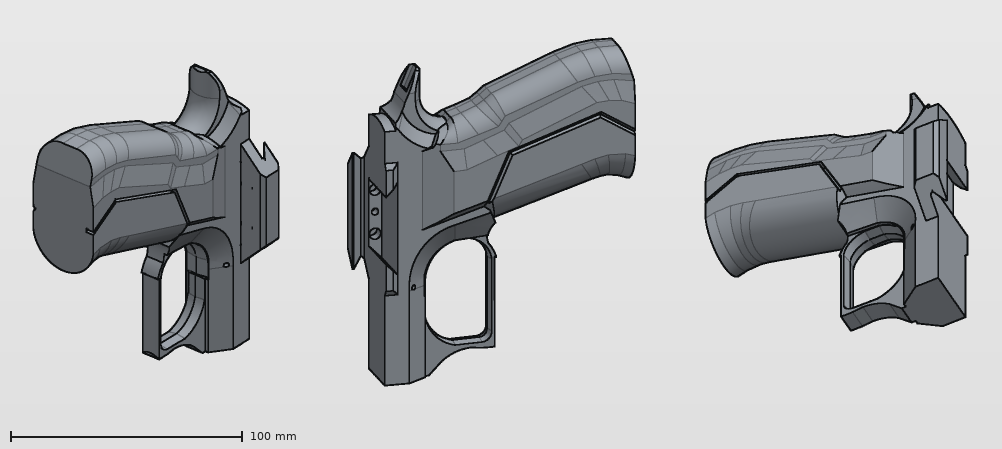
import cadquery as cq
import math


FRAME_HALF = 12.7
GUARD_HALF = 4.6
GUARD_FRONT_Y = -52.5
GUARD_FRONT_TOP = 51.2
GUARD_SAG = 0.8
RECESS_INNER_HALF = 6.2
TAIL_HALF = 8.4
GRIP_HALF = 16.75
SHOULDER_HALF = 15.0
CROWN_FLAT_HALF = 3.7
BUTT_Y = -111.41
GRIP_TOP = 142.19

FRAME_TOP = 117.7
FRAME_ARCH_SAG = 2.5
TAIL_ROOT_Y = -5.0

TAIL_TOP = 139.9
TAIL_CURL_CENTRE = (-30.4, 126.6)
TAIL_CURL_RADIUS = 11.5
TAIL_FRONT_SAG = 3.9
TAIL_ARCH_START = 129.0
TAIL_TIP_HALF = 4.6
TAIL_NOTCH_ENDS = ((-12.0, 129.9), (-16.3, TAIL_TOP))
TAIL_NOTCH_DEPTH = 0.8

MOUNT_DEPTH = 5.9
MOUNT_BOTTOM = 40.8
MOUNT_TOP = 100.8
BOSS_HEIGHT = 1.95
BOSS_BEVEL = 2.6
RAIL_OUTER_X = 25.5
RAIL_HOOK_Y = 6.25
RAIL_CORNER = 1.8
RAIL_TIP_X = 16.2
RAIL_TIP_FLAT = 0.6
MOUNT_MID_Z = (MOUNT_BOTTOM + MOUNT_TOP) / 2
GAP_HALF_BACK = 15.2
SCREW_PITCH = 20.0
SCREW_DIAMETER = 5.0
CENTRE_HOLE_DIAMETER = 3.0
MOUNT_HOLE_DEPTH = 6.0
PIN_DIAMETER = 2.0
PIN_CENTRE = (-13.5, 42.8)

CROWN_RIDGE = [(-25.5, 112.8), (-29.8, 114.0), (-31.9, 116.4), (-36.6, 117.9), (-43.4, 120.6), (-46.9, 122.9),
               (-50.3, 125.6), (-81.1, 138.1), (-90.6, 141.1), (-98.3, GRIP_TOP), (BUTT_Y, GRIP_TOP)]
STRIP_TOP = [(-21.4, 106.6), (-24.5, 108.1), (-32.0, 108.1), (-41.3, 111.1), (-50.3, 114.0), (-51.8, 116.2),
             (-53.3, 118.5), (-85.9, 130.9), (-93.6, 132.8), (-101.3, 133.4), (BUTT_Y, 132.4)]
STRIP_BOTTOM = [(-16.9, 104.9), (-34.9, 105.2), (-43.4, 108.4), (-52.9, 112.1), (-55.0, 115.1),
                (-87.6, 128.8), (-94.9, 130.4), (-102.1, 130.7), (BUTT_Y, 129.2)]
FLANK_TOP = [(-17.3, 95.2), (-35.7, 96.2), (-49.4, 101.4), (-58.9, 104.8), (-60.6, 107.6),
             (-94.0, 121.5), (-99.6, 121.9), (-105.1, 121.5), (BUTT_Y, 119.4)]
FLANK_BOTTOM = [(-16.7, 72.7), (-45.2, 81.1), (-46.9, 81.7), (-87.1, 94.1), (-93.1, 96.0),
                (-99.1, 97.3), (-106.9, 97.1), (BUTT_Y, 95.8)]
KEEL_RIDGE = [(-16.0, 65.0), (-43.9, 73.4), (-50.7, 68.6), (-95.3, 82.3), (-98.7, 83.1),
              (-102.1, 83.5), (-106.9, 82.8), (BUTT_Y, 81.2)]
NECK_START_Y = -16.9
NECK_END_Y = -29.9
BUTT_BEVEL_START_Z = 129.2
BUTT_BEVEL_TOP_Y = -107.3

GROOVE_PATH = [(BUTT_Y - 3.0, 104.5), (-95.9, 115.7), (-55.4, 101.8), (-45.8, 79.9)]
GROOVE_HALF = 1.15
GROOVE_DEPTH = 1.2
SLOT_HALF = 0.65
SLOT_DEPTH = 4.0

MARGIN = 10.0


def side_plane(x):
    """Plane at the given x whose local axes are (y, z)."""
    return cq.Plane(origin=(x, 0, 0), xDir=(0, 1, 0), normal=(1, 0, 0))


def side_prism(points, x_from, x_to):
    return cq.Workplane(side_plane(x_from)).polyline(points).close().extrude(x_to - x_from)


def mirrored(shape):
    return shape.union(shape.mirror("YZ"))


def side_wire(points, x):
    return cq.Wire.makePolygon([cq.Vector(x, y, z) for y, z in points], close=True)


def ruled(wires):
    return cq.Workplane(obj=cq.Solid.makeLoft(wires, True))


def make_frame_block():
    curl_y, curl_z = TAIL_CURL_CENTRE
    diagonal = TAIL_CURL_RADIUS * math.sqrt(0.5)
    tail_front = curl_y + TAIL_CURL_RADIUS
    return (
        cq.Workplane(side_plane(-FRAME_HALF))
        .moveTo(0, 0)
        .lineTo(-22.0, 0)
        .lineTo(-28.0, 6.1)
        .threePointArc((-33.6, 9.5), (-41.0, 11.1))
        .lineTo(-46.0, 10.5)
        .lineTo(-51.6, 10.5)
        .lineTo(GUARD_FRONT_Y, 12.7)
        .lineTo(GUARD_FRONT_Y, GUARD_FRONT_TOP)
        .threePointArc((-51.4, 54.0), (-48.9, 57.9))
        .threePointArc((-48.4, 63.5), (-50.7, 68.5))
        .lineTo(-47.0, 76.0)
        .lineTo(-41.0, 102.0)
        .lineTo(-30.5, 105.0)
        .lineTo(curl_y, curl_z - TAIL_CURL_RADIUS)
        .threePointArc((curl_y + diagonal, curl_z - diagonal), (tail_front, curl_z))
        .lineTo(tail_front, TAIL_TOP - 1.3)
        .lineTo(-17.7, TAIL_TOP)
        .lineTo(-16.3, TAIL_TOP)
        .lineTo(-10.2, 126.0)
        .threePointArc((-7.7, 120.7), (TAIL_ROOT_Y, 118.4))
        .lineTo(-3.5, FRAME_TOP)
        .lineTo(0, FRAME_TOP)
        .close()
        .extrude(2 * FRAME_HALF)
    )


def make_frame_arch_cut():
    """Everything above the arched upper end, between the back face and the tail root."""
    side_z = FRAME_TOP - FRAME_ARCH_SAG
    return (
        cq.Workplane("XZ", origin=(0, MARGIN, 0))
        .moveTo(-FRAME_HALF, side_z)
        .threePointArc((0, FRAME_TOP), (FRAME_HALF, side_z))
        .lineTo(FRAME_HALF, FRAME_TOP + MARGIN)
        .lineTo(-FRAME_HALF, FRAME_TOP + MARGIN)
        .close()
        .extrude(MARGIN - TAIL_ROOT_Y)
    )


def guard_outline(x, start, middle, arc_end, line_end):
    far_y = GUARD_FRONT_Y - MARGIN
    slope = (line_end[1] - arc_end[1]) / (line_end[0] - arc_end[0])
    far_z = line_end[1] + slope * (far_y - line_end[0])
    return (
        cq.Workplane(side_plane(x))
        .moveTo(start[0], -MARGIN)
        .lineTo(*start)
        .threePointArc(middle, arc_end)
        .lineTo(far_y, far_z)
        .lineTo(far_y, -MARGIN)
        .close()
    )


def make_guard_recess():
    """Removes the frame beside the trigger guard, with a flared wall round it."""
    inner = ((-20.1, 42.1), (-23.6, 54.2), (-33.2, 60.9), (-48.2, 62.0))
    outer = ((-11.1, 42.1), (-18.2, 62.6), (-31.4, 70.1), (-46.9, 74.1))
    flare = ruled([guard_outline(RECESS_INNER_HALF, *inner).val(),
                   guard_outline(FRAME_HALF, *outer).val()])
    step = guard_outline(GUARD_HALF, *inner).extrude(RECESS_INNER_HALF - GUARD_HALF)
    return mirrored(flare.union(step))


def tail_side_wire(x, start, middle, end):
    top_z = GRIP_TOP + MARGIN
    front_y = TAIL_CURL_CENTRE[0] - MARGIN
    return (
        cq.Workplane(side_plane(x))
        .moveTo(*start)
        .threePointArc(middle, end)
        .lineTo(front_y, end[1])
        .lineTo(front_y, top_z)
        .lineTo(start[0] + MARGIN, top_z)
        .lineTo(start[0] + MARGIN, start[1] + MARGIN)
        .close()
        .val()
    )


def make_tail_recess():
    """Narrows the frame to the tail width through a flared curved shoulder."""
    inner = tail_side_wire(TAIL_HALF, (-9.2, 121.9), (-14.6, 114.8), (-23.7, 110.8))
    outer = tail_side_wire(FRAME_HALF, (-6.2, 115.5), (-12.2, 109.5), (-20.3, 105.7))
    return mirrored(ruled([inner, outer]))


def make_tail_front_cut():
    """A barrel-shaped cutter that rounds the concave tail front from side to side."""
    curl_y, curl_z = TAIL_CURL_CENTRE
    edge_y = curl_y + TAIL_CURL_RADIUS + TAIL_FRONT_SAG
    profile = (
        cq.Workplane("XY", origin=(0, 0, curl_z))
        .moveTo(-TAIL_HALF, curl_y)
        .lineTo(-TAIL_HALF, edge_y)
        .threePointArc((0, edge_y - TAIL_FRONT_SAG), (TAIL_HALF, edge_y))
        .lineTo(TAIL_HALF, curl_y)
        .close()
    )
    face = cq.Face.makeFromWires(profile.val())
    height = cq.Vector(0, 0, TAIL_TOP + MARGIN - curl_z)
    upper = cq.Workplane(obj=cq.Solid.extrudeLinear(face, height))
    curl = profile.revolve(360, (-TAIL_HALF, curl_y), (TAIL_HALF, curl_y))
    return upper.union(curl)


def make_tail_tip_cut():
    """Rounds the tail tip as seen along y."""
    shoulder_z = TAIL_TOP - 0.9
    corner = (
        cq.Workplane("XZ")
        .moveTo(TAIL_HALF, TAIL_ARCH_START)
        .threePointArc((7.3, 135.0), (TAIL_TIP_HALF, shoulder_z))
        .lineTo(TAIL_TIP_HALF / 2, TAIL_TOP)
        .lineTo(TAIL_HALF + MARGIN, TAIL_TOP)
        .lineTo(TAIL_HALF + MARGIN, TAIL_ARCH_START)
        .close()
        .extrude(-TAIL_CURL_CENTRE[0])
    )
    return mirrored(corner)


def window_half(direction):
    """Half of the window, widening from x = 0 so that the guard bulges slightly into it."""
    return (
        cq.Workplane(side_plane(0))
        .moveTo(-20.7, 46.1)
        .threePointArc((-24.9, 54.6), (-33.2, 59.8))
        .lineTo(-40.0, 60.0)
        .threePointArc((-46.3, 57.0), (-49.6, 50.4))
        .lineTo(-49.6, 17.8)
        .threePointArc((-48.5, 15.1), (-46.0, 14.0))
        .lineTo(-34.0, 13.7)
        .threePointArc((-26.2, 17.8), (-21.4, 26.4))
        .lineTo(-21.4, 37.5)
        .lineTo(-20.7, 37.5)
        .close()
        .extrude(direction * RECESS_INNER_HALF, taper=-math.degrees(math.atan(GUARD_SAG / GUARD_HALF)))
    )


def make_trigger_window():
    return window_half(1).union(window_half(-1))


def make_guard_face_cut():
    """Rounds the straight front of the trigger guard from side to side."""
    edge_y = GUARD_FRONT_Y + GUARD_SAG
    return (
        cq.Workplane("XY")
        .moveTo(-GUARD_HALF, edge_y)
        .threePointArc((0, GUARD_FRONT_Y), (GUARD_HALF, edge_y))
        .lineTo(GUARD_HALF, GUARD_FRONT_Y - MARGIN)
        .lineTo(-GUARD_HALF, GUARD_FRONT_Y - MARGIN)
        .close()
        .extrude(GUARD_FRONT_TOP)
    )


def make_tail_notch():
    """Shallow notch with sloped sides in the back of the tail tip."""
    (low_y, low_z), (high_y, high_z) = TAIL_NOTCH_ENDS
    shallow = 0.05

    def section(x, depth):
        return side_wire([(low_y + MARGIN, low_z), (low_y - depth, low_z),
                          (high_y - depth, high_z), (high_y + MARGIN, high_z)], x)

    floor_half = TAIL_TIP_HALF / 2
    return ruled([section(-TAIL_TIP_HALF, shallow), section(-floor_half, TAIL_NOTCH_DEPTH),
                  section(floor_half, TAIL_NOTCH_DEPTH), section(TAIL_TIP_HALF, shallow)])


def make_frame():
    frame = make_frame_block().cut(make_frame_arch_cut())
    frame = frame.cut(make_guard_recess()).cut(make_tail_recess())
    frame = frame.cut(make_tail_front_cut()).cut(make_tail_tip_cut())
    frame = frame.cut(make_tail_notch()).cut(make_guard_face_cut())
    return frame.cut(make_trigger_window())


def crown_section(ridge, edge):
    """Flat ridge joined to the strip edges by a quarter-ellipse-like arc on each side."""
    blend = math.sqrt(0.5)
    mid_x = CROWN_FLAT_HALF + blend * (SHOULDER_HALF - CROWN_FLAT_HALF)
    mid_y, mid_z = [e + blend * (r - e) for r, e in zip(ridge, edge)]
    left_edge = cq.Vector(-SHOULDER_HALF, *edge)
    left_ridge = cq.Vector(-CROWN_FLAT_HALF, *ridge)
    right_ridge = cq.Vector(CROWN_FLAT_HALF, *ridge)
    right_edge = cq.Vector(SHOULDER_HALF, *edge)
    return cq.Wire.assembleEdges([
        cq.Edge.makeThreePointArc(left_edge, cq.Vector(-mid_x, mid_y, mid_z), left_ridge),
        cq.Edge.makeLine(left_ridge, right_ridge),
        cq.Edge.makeThreePointArc(right_ridge, cq.Vector(mid_x, mid_y, mid_z), right_edge),
        cq.Edge.makeLine(right_edge, left_edge),
    ])


def keel_section(ridge, edge):
    """Circular arc bulging from the flank edges to the lower ridge."""
    left = cq.Vector(-GRIP_HALF, *edge)
    right = cq.Vector(GRIP_HALF, *edge)
    return cq.Wire.assembleEdges([
        cq.Edge.makeThreePointArc(left, cq.Vector(0, *ridge), right),
        cq.Edge.makeLine(right, left),
    ])


def make_flanks():
    root = side_wire(STRIP_BOTTOM + FLANK_BOTTOM[::-1], SHOULDER_HALF)
    face = side_wire(FLANK_TOP + FLANK_BOTTOM[::-1], GRIP_HALF)
    return mirrored(ruled([root, face]))


def make_neck_cut():
    """Trims the grip start so that it flares from the frame width to full width."""
    slope = (GRIP_HALF - FRAME_HALF) / (NECK_END_Y - NECK_START_Y)
    outer_x = GRIP_HALF + MARGIN
    wedge = (
        cq.Workplane("XY")
        .polyline([
            (FRAME_HALF + slope * MARGIN, NECK_START_Y + MARGIN),
            (outer_x, NECK_START_Y + MARGIN),
            (outer_x, NECK_START_Y + (outer_x - FRAME_HALF) / slope),
        ])
        .close()
        .extrude(GRIP_TOP)
    )
    return mirrored(wedge)


def make_butt_bevel():
    return side_prism(
        [(BUTT_Y, BUTT_BEVEL_START_Z), (BUTT_BEVEL_TOP_Y, GRIP_TOP),
         (BUTT_BEVEL_TOP_Y, GRIP_TOP + MARGIN), (BUTT_Y - MARGIN, GRIP_TOP + MARGIN),
         (BUTT_Y - MARGIN, BUTT_BEVEL_START_Z)],
        -GRIP_HALF, GRIP_HALF)


def offset_path(path, distance):
    """Parallel copy of an open path with mitred corners."""
    normals = []
    for (y0, z0), (y1, z1) in zip(path, path[1:]):
        length = math.hypot(y1 - y0, z1 - z0)
        normals.append(((z0 - z1) / length, (y1 - y0) / length))
    befores = [normals[0]] + normals
    afters = normals + [normals[-1]]
    shifted = []
    for (y, z), a, b in zip(path, befores, afters):
        scale = distance / (1 + a[0] * b[0] + a[1] * b[1])
        shifted.append((y + scale * (a[0] + b[0]), z + scale * (a[1] + b[1])))
    return shifted


def band(half_width):
    """Closed strip of the given half width along the groove path."""
    return offset_path(GROOVE_PATH, half_width) + offset_path(GROOVE_PATH, -half_width)[::-1]


def make_grooves():
    """V groove in the -X flank and a narrow, deeper slot in the +X flank."""
    root_half = 0.05
    v_groove = ruled([side_wire(band(GROOVE_HALF), -GRIP_HALF),
                      side_wire(band(root_half), -GRIP_HALF + GROOVE_DEPTH)])
    slot = side_prism(band(SLOT_HALF), GRIP_HALF - SLOT_DEPTH, GRIP_HALF)
    return v_groove.union(slot)


def make_grip():
    core = side_prism(STRIP_TOP + FLANK_BOTTOM[::-1] + [STRIP_BOTTOM[0]], -SHOULDER_HALF, SHOULDER_HALF)
    crown = ruled([crown_section(r, e) for r, e in zip(CROWN_RIDGE, STRIP_TOP)])
    keel = ruled([keel_section(r, e) for r, e in zip(KEEL_RIDGE, FLANK_BOTTOM)])
    grip = core.union(make_flanks()).union(crown).union(keel)
    return grip.cut(make_neck_cut()).cut(make_butt_bevel()).cut(make_grooves())


def make_boss():
    """Bevelled boss on the -X side."""
    taper = math.degrees(math.atan(BOSS_BEVEL / BOSS_HEIGHT))
    boss = (
        cq.Workplane(side_plane(-FRAME_HALF))
        .center(0, MOUNT_MID_Z)
        .rect(2 * MOUNT_DEPTH, MOUNT_TOP - MOUNT_BOTTOM)
        .extrude(-BOSS_HEIGHT, taper=taper)
    )
    back_half = side_prism([(0, 0), (MARGIN, 0), (MARGIN, GRIP_TOP), (0, GRIP_TOP)], -GRIP_HALF, 0)
    return boss.cut(back_half)


def make_mount_gap():
    """Flared gap that splits the boss in two and crosses the frame to the inner face of the rail."""
    gap_half_front = GAP_HALF_BACK + MOUNT_DEPTH
    return side_prism(
        [(0, MOUNT_MID_Z - GAP_HALF_BACK), (0, MOUNT_MID_Z + GAP_HALF_BACK),
         (-MOUNT_DEPTH, MOUNT_MID_Z + gap_half_front), (-MOUNT_DEPTH, MOUNT_MID_Z - gap_half_front)],
        -GRIP_HALF, FRAME_HALF)


def make_rail():
    """Hooked rail on the +X side with both ends sloped at 45 degrees."""
    shoulder_x = RAIL_OUTER_X - RAIL_CORNER
    rail = (
        cq.Workplane("XY")
        .polyline([
            (FRAME_HALF, 0), (FRAME_HALF, -MOUNT_DEPTH), (shoulder_x, -MOUNT_DEPTH),
            (RAIL_OUTER_X, -MOUNT_DEPTH + RAIL_CORNER), (RAIL_OUTER_X, RAIL_HOOK_Y - RAIL_CORNER),
            (shoulder_x, RAIL_HOOK_Y), (RAIL_TIP_X, RAIL_HOOK_Y),
            (RAIL_TIP_X, RAIL_HOOK_Y - RAIL_TIP_FLAT), (20.5, 1.2), (19.6, 0),
        ])
        .close()
        .extrude(GRIP_TOP)
    )
    slope_run = RAIL_OUTER_X - FRAME_HALF
    trapezoid = (
        cq.Workplane("XZ", origin=(0, MARGIN, 0))
        .polyline([
            (FRAME_HALF, MOUNT_BOTTOM), (RAIL_OUTER_X, MOUNT_BOTTOM + slope_run),
            (RAIL_OUTER_X, MOUNT_TOP - slope_run), (FRAME_HALF, MOUNT_TOP),
        ])
        .close()
        .extrude(2 * MARGIN)
    )
    return rail.intersect(trapezoid)


def hole(x, y, z, diameter, depth):
    return cq.Workplane(side_plane(x)).center(y, z).circle(diameter / 2).extrude(depth)


def make_holes():
    """Blind holes in the inner face of the rail and a pin hole right through the frame."""
    hole_y = -MOUNT_DEPTH / 2
    holes = hole(FRAME_HALF, hole_y, MOUNT_MID_Z, CENTRE_HOLE_DIAMETER, MOUNT_HOLE_DEPTH)
    for side in (-1, 1):
        screw_z = MOUNT_MID_Z + side * SCREW_PITCH / 2
        holes = holes.union(hole(FRAME_HALF, hole_y, screw_z, SCREW_DIAMETER, MOUNT_HOLE_DEPTH))
    return holes.union(hole(-FRAME_HALF, *PIN_CENTRE, PIN_DIAMETER, 2 * FRAME_HALF))


result = make_frame().union(make_grip()).union(make_boss()).union(make_rail())
result = result.cut(make_mount_gap()).cut(make_holes())